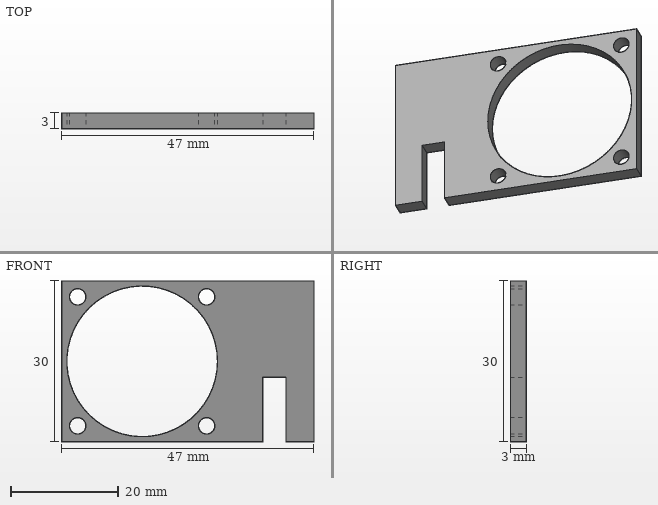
import cadquery as cq

length = 47.0
thickness = 3.0
height = 30.0

opening_diameter = 28.0
opening_x = height / 2
opening_z = height / 2

screw_hole_diameter = 3.0
screw_hole_spacing = 24.0

slot_width = 4.32
slot_height = 12.0
slot_to_right_edge = 5.2
slot_center_x = length - slot_to_right_edge - slot_width / 2


def through_cylinder(x, z, diameter):
    """Cylinder along Y that spans the plate thickness."""
    return cq.Workplane("XZ").center(x, z).circle(diameter / 2).extrude(-thickness)


plate = cq.Workplane("XY").box(length, thickness, height, centered=False)

result = plate.cut(through_cylinder(opening_x, opening_z, opening_diameter))

for x_side in (-1, 1):
    for z_side in (-1, 1):
        hole_x = opening_x + x_side * screw_hole_spacing / 2
        hole_z = opening_z + z_side * screw_hole_spacing / 2
        result = result.cut(through_cylinder(hole_x, hole_z, screw_hole_diameter))

slot = (
    cq.Workplane("XY")
    .box(slot_width, thickness, slot_height, centered=(True, False, False))
    .translate((slot_center_x, 0, 0))
)
result = result.cut(slot)